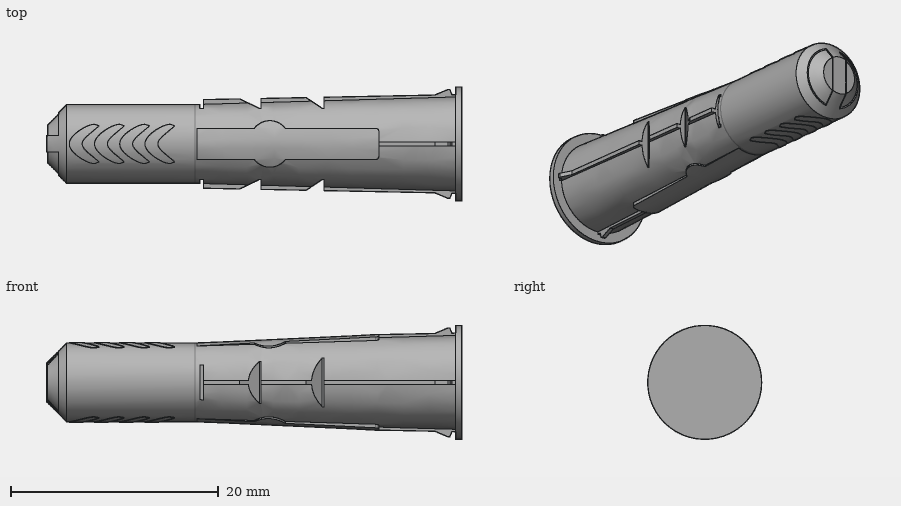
import cadquery as cq
import math


length = 40.0
collar_diameter = 11.0
collar_thickness = 0.6
collar_x = length - collar_thickness

nose_tip_radius = 1.88
shank_radius = 7.6 / 2
nose_length = shank_radius - nose_tip_radius
sleeve_x = 14.3
sleeve_end_radius = 4.53

nose_bar_width = 1.58
nose_recess_end_x = 1.15
nose_recess_depth = 0.1

scale_count = 4
scale_pitch = 2.43
scale_first_x = 2.18
scale_height = 0.05
scale_tip = (2.4, 1.9)
scale_outer_flank = (1.06, 1.35)
scale_inner_tip = (2.86, 1.75)
scale_inner_flank = (1.72, 0.76)
scale_inner_apex = (1.24, 0.0)

tongue_start_x = 14.5
tongue_end_x = 32.0
tongue_half_width = 1.5
tongue_start_radius = 3.82
tongue_end_radius = 4.64
tongue_corner_radius = 0.3
bulge_x = 21.5
bulge_half_length = 1.5
bulge_half_width = 2.24

rib_width = 0.4
rib_start_x = 15.1
rib_start_radius = 4.28
rib_end_radius = 4.76
barb_start_x = 37.4
barb_peak_x = 38.65
barb_peak_length = 0.2
barb_end_x = 39.05
barb_radius = 5.25

cut_floor = 3.43
cut_outside = collar_diameter / 2
slit_x = 14.75
notch_floor_length = 0.15
notches = [(20.65, 1.9), (26.7, 1.55)]


def rib_radius(x):
    """Height of the rib crest above the axis, on a straight taper."""
    slope = (rib_end_radius - rib_start_radius) / (collar_x - rib_start_x)
    return rib_start_radius + slope * (x - rib_start_x)


def revolve_profile(points):
    """Turn an (x, radius) outline about the X axis."""
    return cq.Workplane("XY").polyline(points).close().revolve(360, (0, 0, 0), (1, 0, 0))


def on_both_sides(solid, plane):
    """The solid together with its mirror image across the plane."""
    return solid.union(solid.mirror(plane))


def make_body():
    collar_radius = collar_diameter / 2
    return revolve_profile([
        (0, 0),
        (0, nose_tip_radius),
        (nose_length, shank_radius),
        (sleeve_x, shank_radius),
        (collar_x, sleeve_end_radius),
        (collar_x, collar_radius),
        (length, collar_radius),
        (length, 0),
    ])


def make_nose_recesses():
    """Skin of even thickness over the nose, missing along the central bar."""
    radial_depth = nose_recess_depth * math.sqrt(2)
    end_radius = nose_tip_radius + nose_recess_end_x
    floor_radius = nose_tip_radius + nose_recess_depth - radial_depth
    skin = revolve_profile([
        (0, 0),
        (0, nose_tip_radius),
        (nose_recess_end_x, end_radius),
        (nose_recess_end_x, end_radius - radial_depth),
        (nose_recess_depth, floor_radius),
        (nose_recess_depth, 0),
    ])
    bar = cq.Workplane("XY").box(2 * nose_recess_end_x, nose_bar_width, 2 * shank_radius)
    return skin.cut(bar)


def make_scale(apex_x):
    """Crescent pointing at the nose, wrapped on the top of the shank."""
    def at(point, side=1):
        return (apex_x + point[0], side * point[1])

    prism = (
        cq.Workplane("XY")
        .moveTo(*at(scale_tip))
        .spline([at(scale_outer_flank), (apex_x, 0), at(scale_outer_flank, -1), at(scale_tip, -1)],
                includeCurrent=True)
        .lineTo(*at(scale_inner_tip, -1))
        .spline([at(scale_inner_flank, -1), at(scale_inner_apex), at(scale_inner_flank), at(scale_inner_tip)],
                includeCurrent=True)
        .close()
        .extrude(collar_diameter)
    )
    core_radius = shank_radius / 2
    shell = (
        cq.Workplane("YZ")
        .circle(shank_radius + scale_height)
        .circle(core_radius)
        .extrude(sleeve_x)
    )
    return prism.intersect(shell)


def make_tongue():
    """Straight strip with a round bulge, on a steeper taper than the sleeve under it."""
    strip = (
        cq.Workplane("XY")
        .moveTo(tongue_start_x, -tongue_half_width)
        .lineTo(bulge_x - bulge_half_length, -tongue_half_width)
        .threePointArc((bulge_x, -bulge_half_width), (bulge_x + bulge_half_length, -tongue_half_width))
        .lineTo(tongue_end_x, -tongue_half_width)
        .lineTo(tongue_end_x, tongue_half_width)
        .lineTo(bulge_x + bulge_half_length, tongue_half_width)
        .threePointArc((bulge_x, bulge_half_width), (bulge_x - bulge_half_length, tongue_half_width))
        .lineTo(tongue_start_x, tongue_half_width)
        .close()
        .extrude(collar_diameter)
        .edges("|Z and >X")
        .fillet(tongue_corner_radius)
    )
    envelope = revolve_profile([
        (tongue_start_x, 0),
        (tongue_start_x, tongue_start_radius),
        (tongue_end_x, tongue_end_radius),
        (tongue_end_x, 0),
    ])
    return strip.intersect(envelope)


def make_rib(start_x):
    """Rib on the +Y side, running from start_x to the collar."""
    return (
        cq.Workplane("XY")
        .polyline([
            (start_x, 0),
            (start_x, rib_radius(start_x)),
            (barb_start_x, rib_radius(barb_start_x)),
            (barb_peak_x, barb_radius),
            (barb_peak_x + barb_peak_length, barb_radius),
            (barb_end_x, rib_radius(barb_end_x)),
            (collar_x, rib_end_radius),
            (collar_x, 0),
        ])
        .close()
        .extrude(rib_width / 2, both=True)
    )


def make_side_cut(outline):
    """Cut of the given XY outline, taken right across the +Y side."""
    return cq.Workplane("XY").polyline(outline).close().extrude(collar_diameter / 2, both=True)


def make_slit():
    return make_side_cut([
        (slit_x, cut_floor),
        (rib_start_x, cut_floor),
        (rib_start_x, cut_outside),
        (slit_x, cut_outside),
    ])


def make_notch(wall_x, ramp_length):
    """Saw-tooth notch: ramp down, short floor, then a square wall at wall_x."""
    floor_start_x = wall_x - notch_floor_length
    ramp_start_x = floor_start_x - ramp_length
    return make_side_cut([
        (wall_x, cut_floor),
        (wall_x, cut_outside),
        (ramp_start_x, cut_outside),
        (ramp_start_x, rib_radius(ramp_start_x)),
        (floor_start_x, cut_floor),
    ])


result = make_body().cut(make_nose_recesses())

for index in range(scale_count):
    scale = make_scale(scale_first_x + index * scale_pitch)
    result = result.union(on_both_sides(scale, "XY"))

result = result.union(on_both_sides(make_tongue(), "XY"))
result = result.union(on_both_sides(make_rib(rib_start_x), "XZ"))

upper_rib = make_rib(tongue_end_x).rotate((0, 0, 0), (1, 0, 0), 90)
result = result.union(on_both_sides(upper_rib, "XY"))

result = result.cut(on_both_sides(make_slit(), "XZ"))
for wall_x, ramp_length in notches:
    result = result.cut(on_both_sides(make_notch(wall_x, ramp_length), "XZ"))